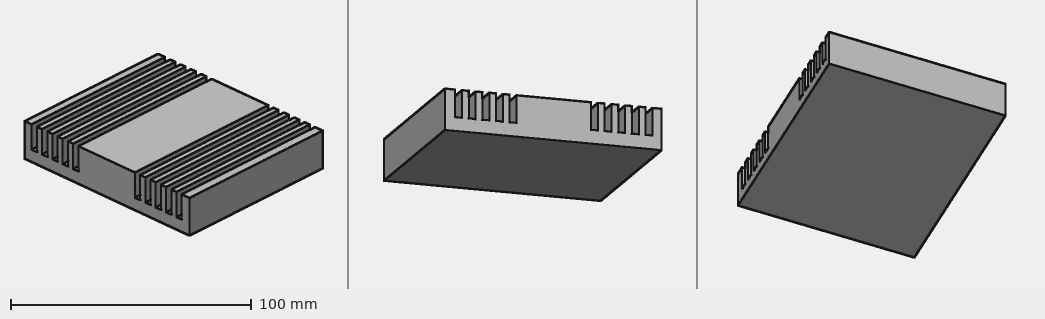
import cadquery as cq

width = 95.0
depth = 80.0
height = 18.0

base_height = 6.0
slot_width = 3.0
slot_pitch = 6.0
slots_per_side = 5
left_wall = 4.0
right_wall = 4.5


def slot(left_edge):
    """Cutter for one full-length slot, open at the top and at both ends."""
    return cq.Workplane("XY").box(
        slot_width, depth, height - base_height, centered=(False, True, False)
    ).translate((left_edge, 0, base_height))


result = cq.Workplane("XY").box(width, depth, height, centered=(True, True, False))

first_left_slot = -width / 2 + left_wall
last_right_slot = width / 2 - right_wall - slot_width
for i in range(slots_per_side):
    result = result.cut(slot(first_left_slot + i * slot_pitch))
    result = result.cut(slot(last_right_slot - i * slot_pitch))